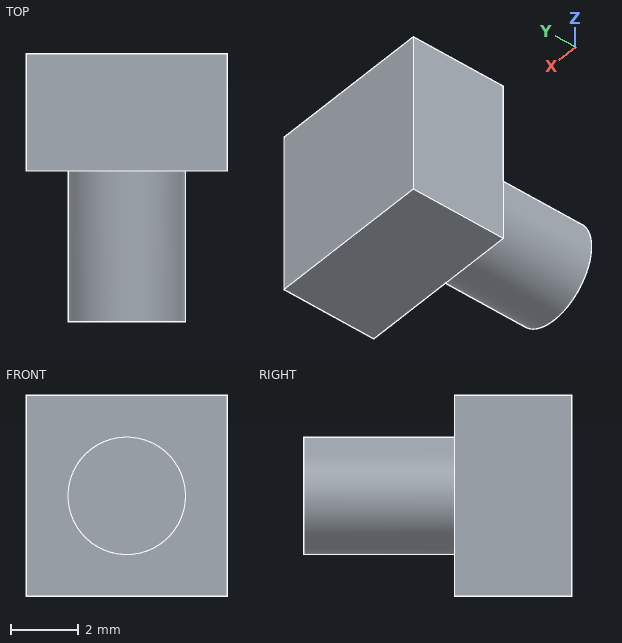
import cadquery as cq

total_length = 8.0
head_width = 6.0
head_depth = 3.5
shank_diameter = 3.5

shank_length = total_length - head_depth

head = cq.Workplane("XY").box(head_width, head_depth, head_width, centered=(True, False, True))

shank = cq.Workplane("XZ").circle(shank_diameter / 2).extrude(shank_length)

result = head.union(shank)